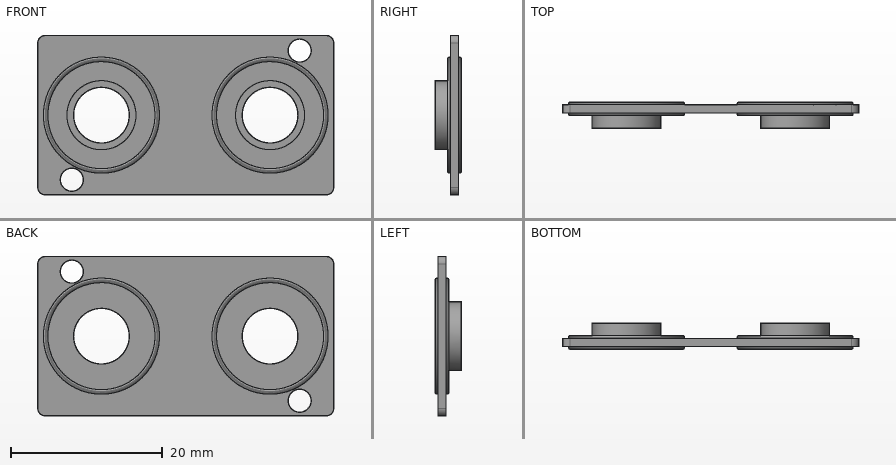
import cadquery as cq

plate_length = 39.0
plate_height = 21.0
plate_thickness = 1.1
corner_radius = 1.0

boss_spacing = 22.2
boss_diameter = 9.1
bore_diameter = 7.3
boss_height = 2.0

bead_outer_diameter = 15.3
bead_width = 0.6
bead_height = 0.35
bead_fillet = 0.25

pin_hole_diameter = 3.0
pin_hole_x = 15.0
pin_hole_z = 8.5

front_y = 0.0
back_y = plate_thickness
boss_end_y = front_y - boss_height
boss_centres = [(-boss_spacing / 2, 0), (boss_spacing / 2, 0)]
pin_hole_centres = [(pin_hole_x, pin_hole_z), (-pin_hole_x, -pin_hole_z)]


def make_cylinders(centres, diameter, start_y, end_y):
    """Cylinders along Y at the given (x, z) centres, from start_y to end_y."""
    return (
        cq.Workplane("XZ", origin=(0, start_y, 0))
        .pushPoints(centres)
        .circle(diameter / 2)
        .extrude(start_y - end_y)
    )


def make_plate():
    """Flat plate with rounded corners."""
    return (
        cq.Workplane("XZ")
        .rect(plate_length, plate_height)
        .extrude(-plate_thickness)
        .edges("|Y")
        .fillet(corner_radius)
    )


def make_beads(face_y, crest_y):
    """Rings around the bosses, from a plate face out to a crest with both rims rounded."""
    bead_inner_diameter = bead_outer_diameter - 2 * bead_width
    outer = make_cylinders(boss_centres, bead_outer_diameter, face_y, crest_y)
    inner = make_cylinders(boss_centres, bead_inner_diameter, face_y, crest_y)
    crest_side = ">Y" if crest_y > face_y else "<Y"
    return outer.cut(inner).faces(crest_side).edges().fillet(bead_fillet)


part = make_plate()
part = part.union(make_cylinders(boss_centres, boss_diameter, boss_end_y, back_y))
part = part.union(make_beads(front_y, front_y - bead_height))
part = part.union(make_beads(back_y, back_y + bead_height))
part = part.cut(make_cylinders(boss_centres, bore_diameter, boss_end_y, back_y))
part = part.cut(make_cylinders(pin_hole_centres, pin_hole_diameter, front_y, back_y))

result = part